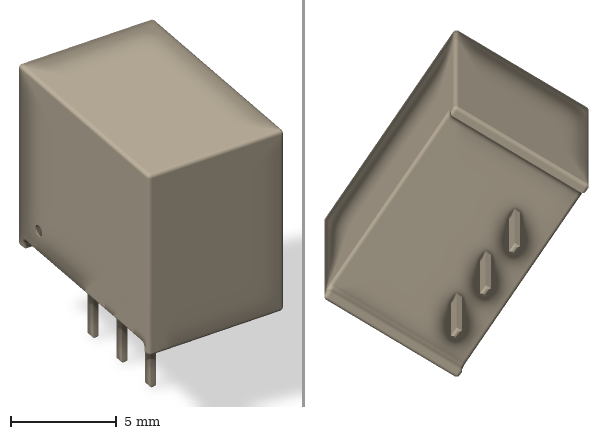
import cadquery as cq

body_width = 11.6
body_depth = 7.56
total_height = 14.26
body_height = 10.15
edge_radius = 0.19

foot_width = 0.5
opening_height = 0.5
opening_corner_radius = 0.2

marker_diameter = 0.6
marker_depth = 0.1
marker_x = -3.94
marker_height = 1.78

pin_count = 3
pin_pitch = 2.54
pin_width = 0.5
pin_thickness = 0.3
pin_chamfer = 0.1
pin_to_front = 2.15

front_y = -body_depth / 2
pin_tip_z = body_height - total_height
pin_length = opening_height - pin_tip_z


def make_case():
    """Solid block with a through opening underneath, all outer edges rounded."""
    block = cq.Workplane("XY").box(
        body_width, body_depth, body_height, centered=(True, True, False)
    )

    opening = (
        cq.Workplane("XY")
        .box(body_width - 2 * foot_width, body_depth, 2 * opening_height)
        .edges("|Y and >Z")
        .fillet(opening_corner_radius)
    )
    case = block.cut(opening)

    outlines = case.faces("<Y or >Y").edges()
    end_edges = case.faces("<X or >X").edges()
    return outlines.add(end_edges).fillet(edge_radius)


def make_marker():
    """Cylinder that sinks the pin 1 marker into the front face."""
    return (
        cq.Workplane("XZ", origin=(marker_x, front_y, marker_height))
        .circle(marker_diameter / 2)
        .extrude(-marker_depth)
    )


def make_pin(x):
    """Rectangular pin with a chamfered tip, hanging from the roof of the opening."""
    return (
        cq.Workplane("XY", origin=(x, front_y + pin_to_front, pin_tip_z))
        .rect(pin_width, pin_thickness)
        .extrude(pin_length)
        .faces("<Z")
        .chamfer(pin_chamfer)
    )


result = make_case().cut(make_marker())
for index in range(pin_count):
    pin_x = (index - (pin_count - 1) / 2) * pin_pitch
    result = result.union(make_pin(pin_x))